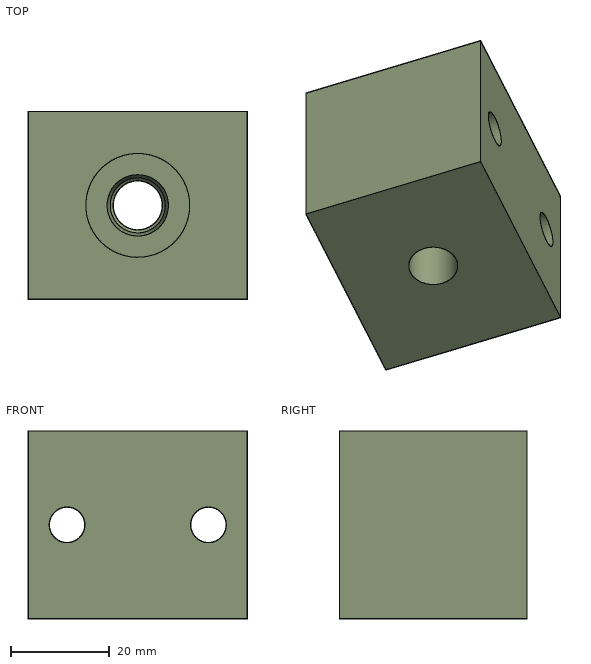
import cadquery as cq
import math

length = 44.45
side = 38.1
top = side / 2

cross_hole_diameter = 7.15
cross_hole_spacing = 28.65

spotface_diameter = 21.05
spotface_depth = 0.25
cone_diameter = 12.45
cone_depth = 2.4
cone_half_angle = 15.0
bore_diameter = 9.9

spotface_radius = spotface_diameter / 2
cone_radius = cone_diameter / 2
bore_radius = bore_diameter / 2
cone_end_radius = cone_radius - cone_depth * math.tan(math.radians(cone_half_angle))
chamfer = cone_end_radius - bore_radius
seat_z = top - spotface_depth
cone_end_z = seat_z - cone_depth


def make_port():
    """Solid of revolution about Z that cuts the whole stepped port."""
    return (
        cq.Workplane("XZ")
        .moveTo(0, -top)
        .lineTo(bore_radius, -top)
        .lineTo(bore_radius, cone_end_z - chamfer)
        .lineTo(cone_end_radius, cone_end_z)
        .lineTo(cone_radius, seat_z)
        .lineTo(spotface_radius, seat_z)
        .lineTo(spotface_radius, top)
        .lineTo(0, top)
        .close()
        .revolve(360, (0, 0, 0), (0, 1, 0))
    )


def make_cross_holes():
    """Pair of cylinders along Y, placed evenly about the port axis."""
    return (
        cq.Workplane("XZ")
        .rarray(cross_hole_spacing, 0.45, 2, 1)
        .circle(cross_hole_diameter / 2)
        .extrude(side / 2, both=True)
    )


block = cq.Workplane("XY").box(length, side, side)
result = block.cut(make_port()).cut(make_cross_holes())